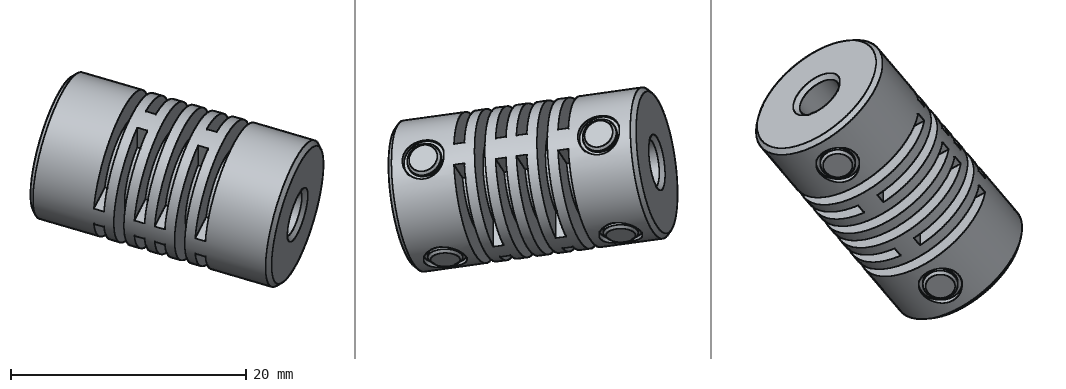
import cadquery as cq

LENGTH = 22.0
OUTER_DIAMETER = 13.0
OUTER_RADIUS = OUTER_DIAMETER / 2
BORE_RADIUS = 2.0
EDGE_CHAMFER = 0.4

SLOT_WIDTH = 0.92
SLOT_PITCH = 2 * SLOT_WIDTH
CORE_RADIUS = 3.98
WEB_WIDTH = 1.98
SLOT_ANGLES = [0, 90, 0, 0, 90, 0]
FIRST_SLOT_X = -SLOT_PITCH * (len(SLOT_ANGLES) - 1) / 2
SLOT_OVERCUT = 0.22

SCREW_RADIUS = 1.5
SCREW_CHAMFER = 0.25
COUNTERBORE_RADIUS = 1.85
COUNTERBORE_DEPTH = 0.5

SCREW_OFFSET = 7.79
SCREW_DIRECTIONS = [cq.Vector(0, 1, 0), cq.Vector(0, 0, -1)]
SCREW_SEATS = [(x, direction) for x in (-SCREW_OFFSET, SCREW_OFFSET) for direction in SCREW_DIRECTIONS]


def radial_cylinder(x, direction, radius, inner, outer):
    """Cylinder on a radial axis at x, from distance inner to distance outer off the X axis."""
    base = cq.Vector(x, 0, 0) + direction * inner
    return cq.Solid.makeCylinder(radius, outer - inner, base, direction)


def make_blank():
    """Cylinder with a through bore, chamfered on the rims of both end faces."""
    end_plane = cq.Workplane("YZ", origin=(-LENGTH / 2, 0, 0))
    tube = end_plane.circle(OUTER_RADIUS).circle(BORE_RADIUS).extrude(LENGTH)
    return tube.faces("<X or >X").edges().chamfer(EDGE_CHAMFER)


def make_slot(x, angle):
    """Cutter for one flexure slot centred at x."""
    slot_plane = cq.Workplane("YZ", origin=(x - SLOT_WIDTH / 2, 0, 0))
    cutter_radius = OUTER_RADIUS + SLOT_OVERCUT
    ring = slot_plane.circle(cutter_radius).circle(CORE_RADIUS).extrude(SLOT_WIDTH)
    webs = slot_plane.rect(2 * cutter_radius, WEB_WIDTH).extrude(SLOT_WIDTH)
    return ring.cut(webs).rotate((0, 0, 0), (1, 0, 0), angle)


def make_screw_hole(x, direction):
    """Cutter for a screw hole that runs into the bore, counterbored at the outer surface."""
    hole = radial_cylinder(x, direction, SCREW_RADIUS, 0, OUTER_RADIUS)
    counterbore_floor = OUTER_RADIUS - COUNTERBORE_DEPTH
    counterbore = radial_cylinder(x, direction, COUNTERBORE_RADIUS, counterbore_floor, OUTER_RADIUS)
    return cq.Workplane(hole.fuse(counterbore))


def make_housing():
    body = make_blank()
    for i, angle in enumerate(SLOT_ANGLES):
        body = body.cut(make_slot(FIRST_SLOT_X + i * SLOT_PITCH, angle))
    for x, direction in SCREW_SEATS:
        body = body.cut(make_screw_hole(x, direction))
    return body.solids().val()


def make_set_screw(x, direction):
    shank = radial_cylinder(x, direction, SCREW_RADIUS, BORE_RADIUS, OUTER_RADIUS)
    end_edges = cq.Workplane(shank).faces("%PLANE").edges().vals()
    return shank.chamfer(SCREW_CHAMFER, None, end_edges)


housing = make_housing()
set_screws = [make_set_screw(x, direction) for x, direction in SCREW_SEATS]

result = cq.Compound.makeCompound([housing, *set_screws])